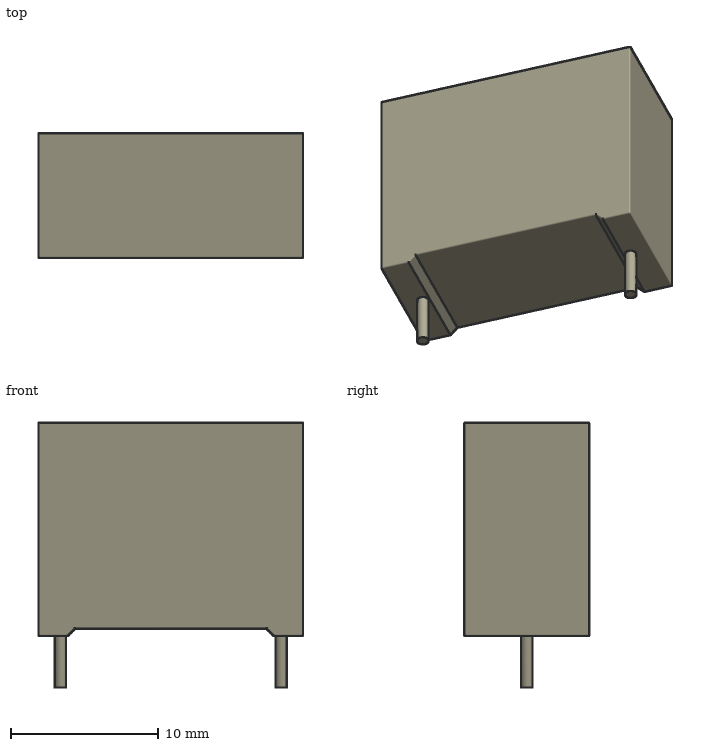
import cadquery as cq

length = 18.0
width = 8.5
total_height = 18.0
lead_length = 3.5
body_height = total_height - lead_length

edge_radius = 0.1

foot_length = 2.0
relief_depth = 0.5
relief_slope_run = 0.5

lead_pitch = 15.0
lead_diameter = 0.8
lead_embedding = 1.8


def make_body():
    """Box with a sloped-end relief underneath; its underside feet sit at Z = 0."""
    half_length = length / 2
    foot_edge = half_length - foot_length
    relief_edge = foot_edge - relief_slope_run
    outline = [
        (-half_length, 0),
        (-foot_edge, 0),
        (-relief_edge, relief_depth),
        (relief_edge, relief_depth),
        (foot_edge, 0),
        (half_length, 0),
        (half_length, body_height),
        (-half_length, body_height),
    ]
    block = cq.Workplane("XZ").polyline(outline).close().extrude(width / 2, both=True)
    rounded_edges = block.faces("<Y or >Y or <X or >X").edges()
    return rounded_edges.fillet(edge_radius)


def make_leads():
    """Two round leads that start inside the body and hang below it."""
    return (
        cq.Workplane("XY", origin=(0, 0, -lead_length))
        .pushPoints([(-lead_pitch / 2, 0), (lead_pitch / 2, 0)])
        .circle(lead_diameter / 2)
        .extrude(lead_length + lead_embedding)
    )


result = make_body().union(make_leads())